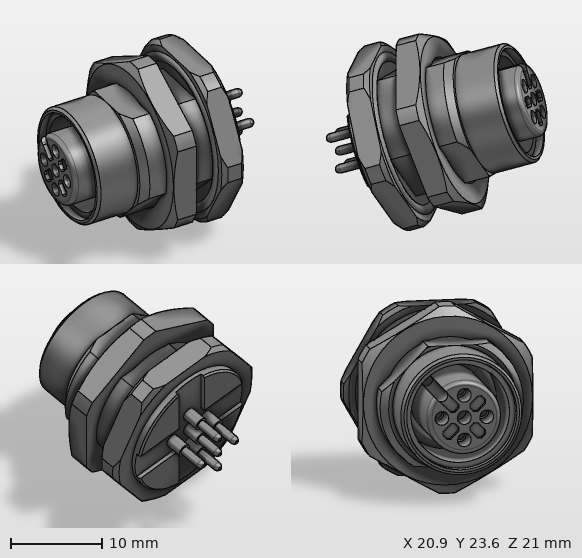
import cadquery as cq
import math


SLEEVE_FRONT = 1.5
THREAD_FRONT = 6.5
NUT_FRONT = 9.45
NUT_BACK = 12.32
FLANGE_FRONT = 15.3
FLANGE_BACK = 18.03
REAR_SLOT_FLOOR = 18.53
REAR_BACK = 19.02
PIN_SHOULDER = 20.53
PIN_END = 23.6

SLEEVE_DIA = 13.5
SLEEVE_CHAMFER = 0.3
THREAD_DIA = 16.0
THREAD_CHAMFER = 0.8
FLAT_DISTANCE = SLEEVE_DIA / 2
FLAT_ANGLES = (90, 270, 135, 315)

ENTRY_DIA = 12.3
ENTRY_DEPTH = 0.9
BORE_DIA = 11.0
BORE_FLOOR = 10.0

INSERT_DIA = 8.21
INSERT_FILLET = 0.5
CONTACT_OFFSET = 2.5
CONTACT_HOLE_DIA = 1.5
CONTACT_HOLE_DEPTH = 3.0
CONTACT_TIP_DIA = 1.15
POCKET_DEPTH = 0.5
POCKET_WIDTH = 1.2
POCKET_INNER = 1.2
POCKET_OUTER = 3.02
POCKET_CHAMFER = 0.28
POCKET_ANGLES = (45, 135, 225, 315)
KEY_ANGLE = 135
KEY_WIDTH = 1.3
KEY_CENTER = 3.42

ACROSS_FLATS = 19.0
FLANGE_DIA = 20.89
FLANGE_CHAMFER = 0.5
NUT_CORNER_ANGLE = 30
FLANGE_CORNER_ANGLE = 0
NUT_DIA = 20.98
NUT_FACE_DIA = 18.88
NUT_BORE_DIA = 14.3
NUT_CHAMFER_LENGTH = 0.52

SEAL_SECTION_DIA = 1.32
SEAL_STATION = 15.67

REAR_CHAMFER = 0.21
REAR_SLOT_WIDTH = 3.8
REAR_SLOT_ANGLES = (0, 90)
PIN_ROOT_DIA = 1.5
PIN_DIA = 1.0
PIN_TIP_DIA = 0.47
PIN_TIP_LENGTH = 0.52

OVERLAP = 0.24


def section(station):
    """Sketch plane across the axis: local x is +X, local y is +Z, extruding toward -Y."""
    return cq.Workplane("XZ", origin=(0, station, 0))


def cylinder(diameter, front, back, x=0.0, z=0.0):
    return section(back).center(x, z).circle(diameter / 2).extrude(back - front)


def turn(profile):
    """Revolve a closed profile of (radius, station) about the Y axis."""
    return profile.close().revolve(360, (0, 0, 0), (0, 1, 0))


def turned(points):
    return turn(cq.Workplane("XY").polyline(points))


def bar(inner, outer, width, front, back, angle):
    """Rectangular bar reaching outward from inner to outer in the given direction."""
    middle = (inner + outer) / 2
    bar_solid = section(back).center(middle, 0).rect(outer - inner, width).extrude(back - front)
    return turn_about_axis(bar_solid, angle)


def turn_about_axis(solid, angle):
    """Turn a solid about the Y axis, from +X toward +Z."""
    return solid.rotate((0, 0, 0), (0, 1, 0), -angle)


def hexagon(front, back, corner_angle):
    corner_dia = ACROSS_FLATS / math.cos(math.pi / 6)
    prism = section(back).polygon(6, corner_dia).extrude(back - front)
    return turn_about_axis(prism, corner_angle)


def make_threaded_body():
    radius = THREAD_DIA / 2
    body = turned([
        (0, THREAD_FRONT),
        (radius - THREAD_CHAMFER, THREAD_FRONT),
        (radius, THREAD_FRONT + THREAD_CHAMFER),
        (radius, FLANGE_FRONT + OVERLAP),
        (0, FLANGE_FRONT + OVERLAP),
    ])
    for angle in FLAT_ANGLES:
        body = body.cut(bar(FLAT_DISTANCE, THREAD_DIA, 2 * THREAD_DIA, THREAD_FRONT, FLANGE_FRONT, angle))
    return body


def make_sleeve():
    sleeve = cylinder(SLEEVE_DIA, SLEEVE_FRONT, THREAD_FRONT + OVERLAP)
    return sleeve.faces("<Y").chamfer(SLEEVE_CHAMFER)


def make_socket_cavity():
    """Stepped bore whose floor bulges forward as a half-round ring around the insert."""
    bore_radius = BORE_DIA / 2
    insert_radius = INSERT_DIA / 2
    entry_radius = ENTRY_DIA / 2
    entry_floor = SLEEVE_FRONT + ENTRY_DEPTH
    ring_height = (bore_radius - insert_radius) / 2
    ring_radius = (bore_radius + insert_radius) / 2
    profile = (
        cq.Workplane("XY")
        .moveTo(insert_radius, SLEEVE_FRONT)
        .lineTo(entry_radius, SLEEVE_FRONT)
        .lineTo(entry_radius, entry_floor)
        .lineTo(bore_radius, entry_floor)
        .lineTo(bore_radius, BORE_FLOOR)
        .threePointArc((ring_radius, BORE_FLOOR - ring_height), (insert_radius, BORE_FLOOR))
    )
    return turn(profile)


def make_insert_front():
    """Rounded nose of the insert, standing out of the sleeve."""
    nose = cylinder(INSERT_DIA, 0, SLEEVE_FRONT + OVERLAP)
    return nose.faces("<Y").edges().fillet(INSERT_FILLET)


def make_contact_hole(x, z):
    """Contact hole that narrows to a smaller flat floor."""
    taper = (CONTACT_HOLE_DIA - CONTACT_TIP_DIA) / 2
    hole = cylinder(CONTACT_HOLE_DIA, 0, CONTACT_HOLE_DEPTH, x, z)
    return hole.faces(">Y").chamfer(taper)


def make_pocket(angle):
    pocket = bar(POCKET_INNER, POCKET_OUTER, POCKET_WIDTH, 0, POCKET_DEPTH, angle)
    return pocket.edges("|Y").chamfer(POCKET_CHAMFER)


def make_key_slot():
    """Round-bottomed polarising slot, with a shallow channel joining it to the nearest pocket."""
    slot_back = BORE_FLOOR - (BORE_DIA - INSERT_DIA) / 4
    channel_start = POCKET_INNER + POCKET_CHAMFER
    reach = INSERT_DIA / 2 + OVERLAP / 2
    channel = bar(channel_start, reach, POCKET_WIDTH, 0, POCKET_DEPTH, KEY_ANGLE)
    straight = bar(KEY_CENTER, reach, KEY_WIDTH, 0, slot_back, KEY_ANGLE)
    round_end = turn_about_axis(cylinder(KEY_WIDTH, 0, slot_back, KEY_CENTER), KEY_ANGLE)
    return straight.union(round_end).union(channel)


def make_nut():
    radius = NUT_DIA / 2
    blank = turned([
        (0, NUT_FRONT),
        (NUT_FACE_DIA / 2, NUT_FRONT),
        (radius, NUT_FRONT + NUT_CHAMFER_LENGTH),
        (radius, NUT_BACK),
        (0, NUT_BACK),
    ])
    bore = cylinder(NUT_BORE_DIA, NUT_FRONT, NUT_BACK)
    return hexagon(NUT_FRONT, NUT_BACK, NUT_CORNER_ANGLE).intersect(blank).cut(bore)


def make_flange():
    blank = cylinder(FLANGE_DIA, FLANGE_FRONT, FLANGE_BACK).edges().chamfer(FLANGE_CHAMFER)
    return hexagon(FLANGE_FRONT, FLANGE_BACK, FLANGE_CORNER_ANGLE).intersect(blank)


def make_seal():
    ring_radius = (THREAD_DIA + SEAL_SECTION_DIA) / 2
    profile = cq.Workplane("XY").center(ring_radius, SEAL_STATION).circle(SEAL_SECTION_DIA / 2)
    return profile.revolve(360, (-ring_radius, 0, 0), (-ring_radius, 1, 0))


def make_rear():
    """Chamfered collar behind the flange, its end face crossed by two slots."""
    rear = cylinder(THREAD_DIA, FLANGE_BACK - OVERLAP, REAR_BACK)
    rear = rear.faces(">Y").chamfer(REAR_CHAMFER)
    for angle in REAR_SLOT_ANGLES:
        rear = rear.cut(bar(-THREAD_DIA, THREAD_DIA, REAR_SLOT_WIDTH, REAR_SLOT_FLOOR, REAR_BACK, angle))
    return rear


def make_pin(x, z):
    """Solder pin with a thicker root and a rounded tip ending in a small flat."""
    profile = (
        cq.Workplane("XY")
        .moveTo(0, REAR_SLOT_FLOOR - OVERLAP)
        .lineTo(PIN_ROOT_DIA / 2, REAR_SLOT_FLOOR - OVERLAP)
        .lineTo(PIN_ROOT_DIA / 2, PIN_SHOULDER)
        .lineTo(PIN_DIA / 2, PIN_SHOULDER)
        .lineTo(PIN_DIA / 2, PIN_END - PIN_TIP_LENGTH)
        .tangentArcPoint((PIN_TIP_DIA / 2, PIN_END), relative=False)
        .lineTo(0, PIN_END)
    )
    return turn(profile).translate((x, 0, z))


contact_places = [
    (0, 0),
    (CONTACT_OFFSET, 0),
    (-CONTACT_OFFSET, 0),
    (0, CONTACT_OFFSET),
    (0, -CONTACT_OFFSET),
]

result = make_threaded_body().union(make_sleeve()).union(make_nut())
result = result.cut(make_socket_cavity()).union(make_insert_front())
result = result.cut(make_key_slot())
for angle in POCKET_ANGLES:
    result = result.cut(make_pocket(angle))
result = result.cut(cylinder(CONTACT_HOLE_DIA, 0, CONTACT_HOLE_DEPTH))
for x, z in contact_places[1:]:
    result = result.cut(make_contact_hole(x, z))

result = result.union(make_flange()).union(make_seal()).union(make_rear())
for x, z in contact_places:
    result = result.union(make_pin(x, z))